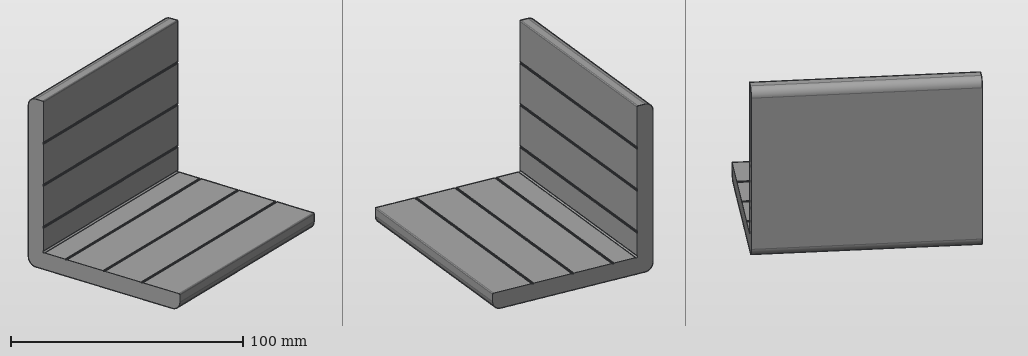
import cadquery as cq

leg_length = 80.0
bar_length = 100.0
thickness = 8.0
edge_radius = 4.0
tip_radius = 0.4
relief_radius = 0.5
relief_offset = 0.3
groove_mouth = 1.0
groove_floor = 0.5
groove_depth = 0.3
groove_pitch = 20.0
groove_count = 3


def extrude_along_bar(profile):
    """Extrude an XZ profile over the full bar; the plane faces -Y, so the depth is negative."""
    return profile.extrude(-bar_length)


def angle_bar():
    """L-shaped bar along Y with large outer radii and small radii on the inner leg tips."""
    outline = [
        (0, 0),
        (leg_length, 0),
        (leg_length, thickness),
        (thickness, thickness),
        (thickness, leg_length),
        (0, leg_length),
    ]
    bar = extrude_along_bar(cq.Workplane("XZ").polyline(outline).close())
    bar = bar.edges("|Y").edges("<X or <Z").fillet(edge_radius)
    half_length = bar_length / 2
    for x, z in [(leg_length, thickness), (thickness, leg_length)]:
        tip_edge = cq.selectors.NearestToPointSelector((x, half_length, z))
        bar = bar.edges(tip_edge).fillet(tip_radius)
    return bar


def root_relief():
    """Rod that hollows out the inner corner, centred just inside the open angle."""
    centre = thickness + relief_offset
    return extrude_along_bar(cq.Workplane("XZ").center(centre, centre).circle(relief_radius))


def groove_cutters():
    """Tapered bars for evenly spaced lengthwise grooves in both inner faces."""
    bottom = thickness - groove_depth
    cutters = cq.Workplane("XZ")
    for index in range(1, groove_count + 1):
        centre = index * groove_pitch
        horizontal = [
            (centre - groove_mouth / 2, thickness),
            (centre - groove_floor / 2, bottom),
            (centre + groove_floor / 2, bottom),
            (centre + groove_mouth / 2, thickness),
        ]
        vertical = [(z, x) for x, z in horizontal]
        for outline in (horizontal, vertical):
            groove = extrude_along_bar(cq.Workplane("XZ").polyline(outline).close())
            cutters = cutters.add(groove)
    return cutters.combine()


result = angle_bar().cut(root_relief()).cut(groove_cutters())